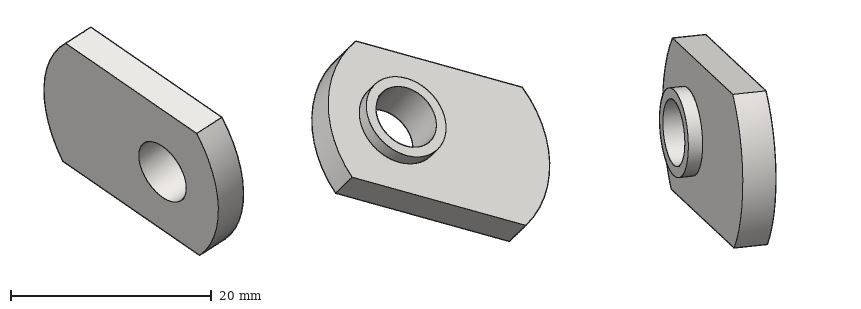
import cadquery as cq

disc_diameter = 25.0
plate_thickness = 3.5
top_flat_height = 8.25
bottom_flat_depth = 7.75

boss_diameter = 9.0
boss_height = 1.5
hole_diameter = 6.8
boss_offset = 4.5

total_thickness = plate_thickness + boss_height


def cylinder_along_y(diameter, length, x=0.0):
    """Cylinder running from the front face (Y = 0) toward +Y."""
    return cq.Workplane("XZ").center(x, 0).circle(diameter / 2).extrude(-length)


flat_band = (
    cq.Workplane("XY")
    .workplane(offset=-bottom_flat_depth)
    .rect(disc_diameter, 2 * total_thickness)
    .extrude(top_flat_height + bottom_flat_depth)
)
plate = cylinder_along_y(disc_diameter, plate_thickness).intersect(flat_band)

boss = cylinder_along_y(boss_diameter, total_thickness, boss_offset)
hole = cylinder_along_y(hole_diameter, total_thickness, boss_offset)

result = plate.union(boss).cut(hole)